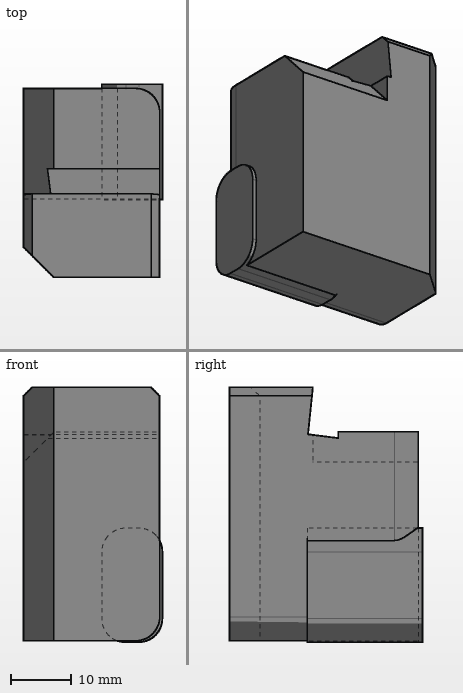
import cadquery as cq

block_width = 22.55
block_depth = 31.25
block_height = 41.95
corner_radius = 3.95
large_chamfer = 5.02
top_chamfer = 1.45

nose_depth = 13.85
nose_root_depth = 13.05
seat_inner_height = 34.2
seat_outer_height = 33.55
ledge_start = 18.0
ledge_height = 34.6

insert_proud_x = 0.45
insert_proud_y = 0.7
insert_proud_z = 0.25
insert_width = 10.1
insert_height = 18.95
insert_length = 19.1
insert_radius = 3.95


def triangular_prism(plane, origin, leg_a, leg_b, length):
    """Right-angled wedge with its square corner at the origin of the plane."""
    return (
        cq.Workplane(plane, origin=origin)
        .polyline([(0, 0), (leg_a, 0), (0, leg_b)])
        .close()
        .extrude(length)
    )


def make_insert():
    """Bar along Y with a rounded rectangular section."""
    return (
        cq.Workplane("XY")
        .box(insert_width, insert_length, insert_height, centered=False)
        .edges("|Y")
        .fillet(insert_radius)
        .translate((
            block_width + insert_proud_x - insert_width,
            block_depth + insert_proud_y - insert_length,
            -insert_proud_z,
        ))
    )


def make_stepped_blank():
    """Side profile with the undercut nose, sloping seat and rear ledge."""
    profile = [
        (0, 0),
        (block_depth, 0),
        (block_depth, ledge_height),
        (ledge_start, ledge_height),
        (ledge_start, seat_outer_height),
        (nose_root_depth, seat_inner_height),
        (nose_depth, block_height),
        (0, block_height),
    ]
    return cq.Workplane("YZ").polyline(profile).close().extrude(block_width)


def make_rounded_envelope():
    """Full-size box with the rear right and bottom right edges rounded."""
    envelope = cq.Workplane("XY").box(block_width, block_depth, block_height, centered=False)
    return envelope.edges("(>X and >Y) or (>X and <Z)").fillet(corner_radius)


def make_block(insert):
    block = make_stepped_blank().intersect(make_rounded_envelope())

    block = block.cut(
        triangular_prism("XY", (0, 0, 0), large_chamfer, large_chamfer, block_height)
    )

    block = block.cut(
        triangular_prism("XZ", (0, nose_depth, block_height), top_chamfer, -top_chamfer, nose_depth)
    )
    block = block.cut(
        triangular_prism(
            "XZ", (block_width, nose_depth, block_height), -top_chamfer, -top_chamfer, nose_depth
        )
    )

    ledge_length = block_depth - nose_depth
    block = block.cut(
        triangular_prism(
            "XZ", (0, block_depth, ledge_height), large_chamfer, -large_chamfer, ledge_length
        )
    )

    return block.cut(insert)


insert = make_insert()
block = make_block(insert)

result = cq.Compound.makeCompound([block.val(), insert.val()])